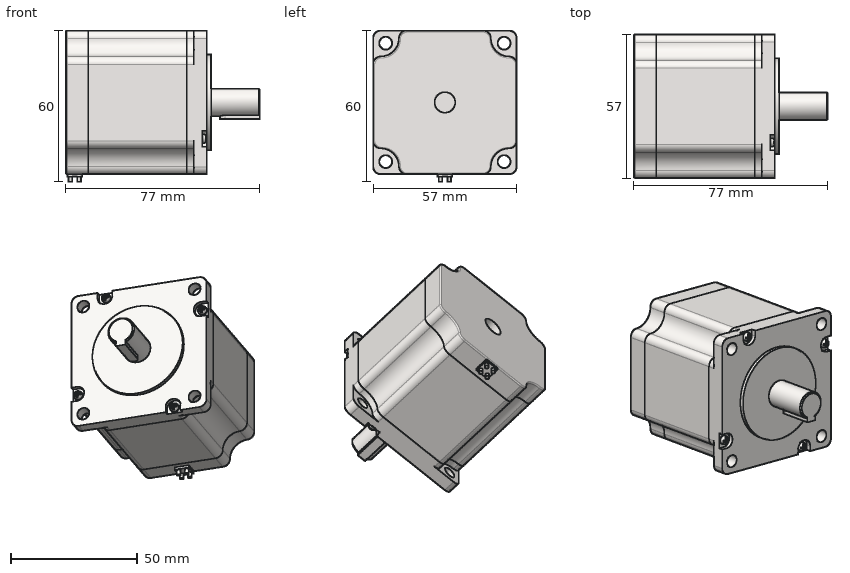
import cadquery as cq
import math


REAR_CAP_END = 8.9
STATOR_END = 47.9
FLANGE_BACK = 50.8
FLANGE_FRONT = 56.0
BOSS_FRONT = 57.6
SHAFT_END = 77.0

FRAME_WIDTH = 57.0
HALF_FRAME = FRAME_WIDTH / 2
FLANGE_CORNER_RADIUS = 3.0
ROUNDING_RADIUS = 3.1
SCALLOP_DEPTH = 10.25
REAR_EDGE_RADIUS = 0.55

HOLE_OFFSET = 23.5
HOLE_DIAMETER = 5.0

BORE_DIAMETER = 8.2
BORE_DEPTH = 5.0

BOSS_DIAMETER = 38.1
SHAFT_DIAMETER = 11.0
SHAFT_CHAMFER = 0.55
KEY_START = 61.05
KEY_WIDTH = 4.0
KEY_OUTER_Z = -6.6

NOTCH_WIDTH = 6.2
NOTCH_DEPTH = 1.9
NOTCH_SIDE_OFFSET = 14.4
SCREW_INSET = 2.2
HEAD_RADIUS = 1.8
HEAD_TOP_RADIUS = 1.0
HEAD_RIM_HEIGHT = 0.4
DOME_BULGE = 0.15
CROSS_SLOT_WIDTH = 0.55
CROSS_SLOT_DEPTH = 0.5

BLOCK_SIZE = 6.0
BLOCK_HEIGHT = 1.0
PIN_DIAMETER = 1.55
PIN_SPACING = 3.5
PIN_LENGTH = 2.0

SCREW_Z = HALF_FRAME - SCREW_INSET
NOTCH_FLOOR = FLANGE_FRONT - NOTCH_DEPTH


def section_at(x):
    """Workplane across the motor axis; its local axes are Y and Z and it extrudes toward +X."""
    return cq.Workplane("YZ", origin=(x, 0, 0))


def quarter_turns(shape):
    """The shape at four places, a quarter turn apart about the motor axis."""
    return [shape.rotate((0, 0, 0), (1, 0, 0), 90 * turn) for turn in range(4)]


def scalloped_prism(x_start, x_end):
    """Square prism whose corners are scooped out, with rounded edges beside each scoop."""
    scallop_radius = SCALLOP_DEPTH - ROUNDING_RADIUS
    scallop_center = HALF_FRAME - ROUNDING_RADIUS
    scallop_middle = scallop_center - scallop_radius * math.sqrt(0.5)
    inner = HALF_FRAME - SCALLOP_DEPTH
    flat_end = inner - ROUNDING_RADIUS
    rounding_middle = ROUNDING_RADIUS * math.sqrt(0.5)

    corner_arcs = [
        ((flat_end + rounding_middle, scallop_center + rounding_middle), (inner, scallop_center)),
        ((scallop_middle, scallop_middle), (scallop_center, inner)),
        ((scallop_center + rounding_middle, flat_end + rounding_middle), (HALF_FRAME, flat_end)),
    ]

    def turned(point, turn):
        y, z = point
        for _ in range(turn):
            y, z = z, -y
        return y, z

    outline = section_at(x_start).moveTo(-flat_end, HALF_FRAME)
    for turn in range(4):
        outline = outline.lineTo(*turned((flat_end, HALF_FRAME), turn))
        for middle, end in corner_arcs:
            outline = outline.threePointArc(turned(middle, turn), turned(end, turn))
    return outline.close().extrude(x_end - x_start)


def terminal_block():
    """Square block with four round pins, hanging under the rear cap."""
    top_center = (REAR_EDGE_RADIUS + BLOCK_SIZE / 2, 0, -HALF_FRAME)
    block = cq.Workplane("XY", origin=top_center).rect(BLOCK_SIZE, BLOCK_SIZE).extrude(-BLOCK_HEIGHT)
    pins = (
        cq.Workplane("XY", origin=top_center)
        .rarray(PIN_SPACING, PIN_SPACING, 2, 2)
        .circle(PIN_DIAMETER / 2)
        .extrude(-(BLOCK_HEIGHT + PIN_LENGTH))
    )
    return block.union(pins)


def make_rear_cap():
    cap = scalloped_prism(0, REAR_CAP_END).faces("<X").edges().fillet(REAR_EDGE_RADIUS)
    bore = section_at(0).circle(BORE_DIAMETER / 2).extrude(BORE_DEPTH)
    return cap.cut(bore).union(terminal_block())


def make_stator():
    return scalloped_prism(REAR_CAP_END, STATOR_END)


def flange():
    """Square plate with rounded corners and four mounting holes."""
    return (
        section_at(FLANGE_BACK)
        .rect(FRAME_WIDTH, FRAME_WIDTH)
        .extrude(FLANGE_FRONT - FLANGE_BACK)
        .edges("|X")
        .fillet(FLANGE_CORNER_RADIUS)
        .faces(">X")
        .workplane()
        .rarray(2 * HOLE_OFFSET, 2 * HOLE_OFFSET, 2, 2)
        .hole(HOLE_DIAMETER)
    )


def shaft():
    """Round shaft with a chamfered end and a raised key along its lower side."""
    rod = (
        section_at(FLANGE_FRONT)
        .circle(SHAFT_DIAMETER / 2)
        .extrude(SHAFT_END - FLANGE_FRONT)
        .faces(">X")
        .chamfer(SHAFT_CHAMFER)
    )
    round_center = KEY_START + KEY_WIDTH / 2
    key = (
        cq.Workplane("XY", origin=(0, 0, KEY_OUTER_Z))
        .moveTo(SHAFT_END, -KEY_WIDTH / 2)
        .lineTo(round_center, -KEY_WIDTH / 2)
        .threePointArc((KEY_START, 0), (round_center, KEY_WIDTH / 2))
        .lineTo(SHAFT_END, KEY_WIDTH / 2)
        .close()
        .extrude(-KEY_OUTER_Z)
    )
    return rod.union(key)


def screw_notch():
    """Cutter for the notch that opens through the top side of the flange."""
    radius = NOTCH_WIDTH / 2
    return (
        section_at(NOTCH_FLOOR)
        .moveTo(-NOTCH_SIDE_OFFSET - radius, HALF_FRAME)
        .lineTo(-NOTCH_SIDE_OFFSET - radius, SCREW_Z)
        .threePointArc((-NOTCH_SIDE_OFFSET, SCREW_Z - radius), (-NOTCH_SIDE_OFFSET + radius, SCREW_Z))
        .lineTo(-NOTCH_SIDE_OFFSET + radius, HALF_FRAME)
        .close()
        .extrude(NOTCH_DEPTH)
    )


def screw_head():
    """Domed head with a flat top and a cross slot, standing on the notch floor."""
    rim_top = NOTCH_FLOOR + HEAD_RIM_HEIGHT
    dome_middle = (
        (rim_top + FLANGE_FRONT) / 2 + DOME_BULGE,
        (HEAD_RADIUS + HEAD_TOP_RADIUS) / 2 + DOME_BULGE,
    )
    head = (
        cq.Workplane("XY")
        .moveTo(NOTCH_FLOOR, 0)
        .lineTo(NOTCH_FLOOR, HEAD_RADIUS)
        .lineTo(rim_top, HEAD_RADIUS)
        .threePointArc(dome_middle, (FLANGE_FRONT, HEAD_TOP_RADIUS))
        .lineTo(FLANGE_FRONT, 0)
        .close()
        .revolve(360, (0, 0, 0), (1, 0, 0))
    )
    slot_length = 2 * HEAD_RADIUS
    slot_plane = section_at(FLANGE_FRONT)
    cross = slot_plane.rect(slot_length, CROSS_SLOT_WIDTH).extrude(-CROSS_SLOT_DEPTH)
    cross = cross.union(slot_plane.rect(CROSS_SLOT_WIDTH, slot_length).extrude(-CROSS_SLOT_DEPTH))
    return head.cut(cross).translate((0, -NOTCH_SIDE_OFFSET, SCREW_Z))


def make_front_cap():
    """Front cap with its flange, boss and shaft, and the screws set into the flange."""
    boss = section_at(FLANGE_FRONT).circle(BOSS_DIAMETER / 2).extrude(BOSS_FRONT - FLANGE_FRONT)
    cap = scalloped_prism(STATOR_END, FLANGE_BACK).union(flange()).union(boss).union(shaft())
    for notch in quarter_turns(screw_notch()):
        cap = cap.cut(notch)
    for head in quarter_turns(screw_head()):
        cap = cap.union(head)
    return cap


rear_cap = make_rear_cap()
stator = make_stator()
front_cap = make_front_cap()

result = cq.Compound.makeCompound([rear_cap.val(), stator.val(), front_cap.val()])